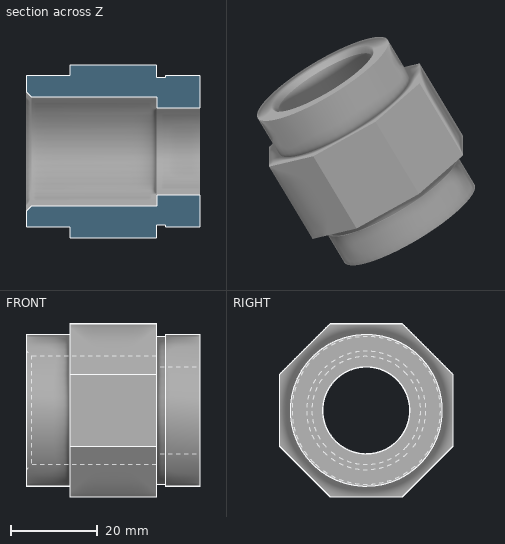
import cadquery as cq
import math

total_length = 40.0
inlet_length = 10.0
nut_length = 20.0
groove_length = 2.0
collar_length = total_length - inlet_length - nut_length - groove_length

nut_across_flats = 40.0
nut_sides = 8
sleeve_diameter = 35.0
groove_diameter = 34.15
socket_diameter = 25.0
bore_diameter = 20.0

socket_depth = 30.0
lead_in_diameter = 27.4
lead_in_depth = 1.2


def cylinder(start, length, diameter):
    """Round bar along +X, centred on the X axis."""
    return cq.Workplane("YZ").workplane(offset=start).circle(diameter / 2).extrude(length)


def octagonal_nut(start):
    """Octagonal prism with flats facing the Y and Z directions."""
    across_corners = nut_across_flats / math.cos(math.pi / nut_sides)
    half_step = 180 / nut_sides
    prism = cq.Workplane("YZ").workplane(offset=start).polygon(nut_sides, across_corners).extrude(nut_length)
    return prism.rotate((0, 0, 0), (1, 0, 0), half_step)


def stepped_bore():
    """Through bore widened by a socket with a conical lead-in at the inlet face."""
    lead_in = (
        cq.Workplane("YZ")
        .circle(lead_in_diameter / 2)
        .workplane(offset=lead_in_depth)
        .circle(socket_diameter / 2)
        .loft()
    )
    socket = cylinder(0, socket_depth, socket_diameter)
    return cylinder(0, total_length, bore_diameter).union(socket).union(lead_in)


nut_end = inlet_length + nut_length
groove_end = nut_end + groove_length

body = (
    octagonal_nut(inlet_length)
    .union(cylinder(0, inlet_length, sleeve_diameter))
    .union(cylinder(nut_end, groove_length, groove_diameter))
    .union(cylinder(groove_end, collar_length, sleeve_diameter))
)

result = body.cut(stepped_bore())